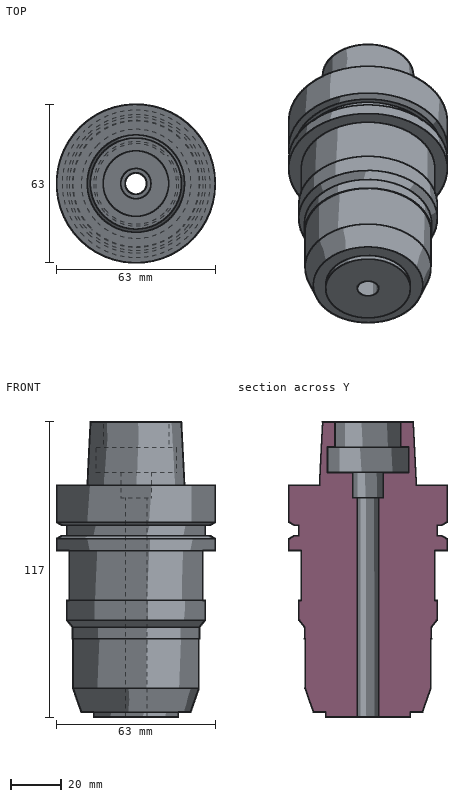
import cadquery as cq
import math


shank_length = 25.0
gauge_radius = 19.0
gauge_height = 6.3
taper_ratio = 9.98
shank_base_radius = gauge_radius + gauge_height / taper_ratio / 2
shank_tip_radius = shank_base_radius - shank_length / taper_ratio / 2

flange_radius = 31.5
flange_height = 26.0
groove_centre_depth = 18.0
groove_floor_width = 4.0
groove_floor_radius = 27.5
groove_shoulder_radius = 29.3
groove_flank_angle = math.radians(30)
groove_flank_height = (flange_radius - groove_shoulder_radius) * math.tan(groove_flank_angle)
groove_top = -groove_centre_depth + groove_floor_width / 2
groove_bottom = -groove_centre_depth - groove_floor_width / 2

body_radius = 26.5
collar_radius = 27.5
collar_top = -45.7
collar_chamfer_top = -53.5
land_radius = 25.25
land_top = -56.3
sleeve_radius = 25.0
sleeve_top = -61.0
nose_top = -80.6
nose_tip_radius = 21.7
nose_bottom = -90.0
spigot_radius = 16.8
bottom = -92.0

mouth_radius = 13.0
mouth_depth = 10.0
undercut_radius = 16.0
undercut_depth = 20.0
counterbore_radius = 6.0
counterbore_depth = 30.0
through_hole_radius = 4.2


def outer_body():
    """Solid of revolution bounded by the outer profile (radius, height)."""
    profile = [
        (0, shank_length),
        (shank_tip_radius, shank_length),
        (shank_base_radius, 0),
        (flange_radius, 0),
        (flange_radius, groove_top + groove_flank_height),
        (groove_shoulder_radius, groove_top),
        (groove_floor_radius, groove_top),
        (groove_floor_radius, groove_bottom),
        (groove_shoulder_radius, groove_bottom),
        (flange_radius, groove_bottom - groove_flank_height),
        (flange_radius, -flange_height),
        (body_radius, -flange_height),
        (body_radius, collar_top),
        (collar_radius, collar_top),
        (collar_radius, collar_chamfer_top),
        (land_radius, land_top),
        (land_radius, sleeve_top),
        (sleeve_radius, sleeve_top),
        (sleeve_radius, nose_top),
        (nose_tip_radius, nose_bottom),
        (spigot_radius, nose_bottom),
        (spigot_radius, bottom),
        (0, bottom),
    ]
    return cq.Workplane("XZ").polyline(profile).close().revolve(360, (0, 0, 0), (0, 1, 0))


def bore_section(radius, start_depth, end_depth):
    """Cylinder on the axis between two depths below the shank tip."""
    top_plane = cq.Workplane("XY").workplane(offset=shank_length - start_depth)
    return top_plane.circle(radius).extrude(start_depth - end_depth)


def stepped_bore():
    """Mouth, wider undercut, counterbore and through hole."""
    total_length = shank_length - bottom
    mouth = bore_section(mouth_radius, 0, mouth_depth)
    undercut = bore_section(undercut_radius, mouth_depth, undercut_depth)
    counterbore = bore_section(counterbore_radius, undercut_depth, counterbore_depth)
    through_hole = bore_section(through_hole_radius, counterbore_depth, total_length)
    return mouth.union(undercut).union(counterbore).union(through_hole)


result = outer_body().cut(stepped_bore())